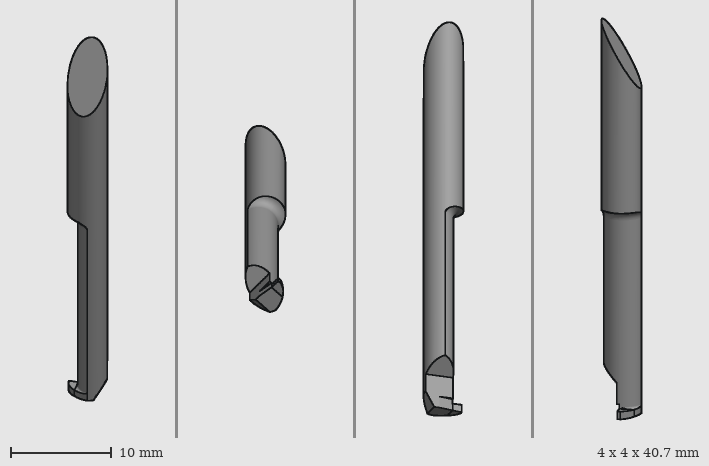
import cadquery as cq
import math

length = 40.7
shank_radius = 2.0
top_bevel_angle = 60.0

neck_left = -0.95
neck_radius = shank_radius
neck_axis_x = neck_left + neck_radius
shoulder_z = 21.25
shoulder_fillet = 0.98

foot_bottom = 0.1
foot_top = 0.8
foot_fillet = 0.2
foot_front_y = -1.45
foot_bulge = (-0.2, -1.8)
hook_tip_x = -1.9
rake_y = 0.06
tip_land = 0.33
hook_bulge = (-1.55, -0.95)

flat_y = 0.305
flat_height = 3.45
flat_runout_angle = 45.0
groove_top = 1.25
heel_bottom_x = 1.1
heel_angle = 60.0

cut_reach = 2 * shank_radius
meeting_x = neck_axis_x / 2
meeting_y = -math.sqrt(shank_radius**2 - meeting_x**2)


def make_shank():
    """Round bar with a slanted top face, highest at +Y."""
    blank = cq.Workplane("XY").workplane(offset=foot_bottom).circle(shank_radius)
    shank = blank.extrude(length - foot_bottom)
    bevel_drop = 2 * shank_radius * math.tan(math.radians(top_bevel_angle))
    bevel = (
        cq.Workplane("YZ")
        .moveTo(shank_radius, length)
        .lineTo(-shank_radius, length - bevel_drop)
        .lineTo(-shank_radius, length)
        .close()
        .extrude(shank_radius, both=True)
    )
    return shank.cut(bevel)


def neck_relief():
    """Ring around the neck axis, with a cove at each end, that leaves the neck."""
    diagonal = math.sqrt(0.5)
    outer = neck_radius + cut_reach
    foot_centre = (neck_radius + foot_fillet, foot_top + foot_fillet)
    shoulder_centre = (neck_radius + shoulder_fillet, shoulder_z - shoulder_fillet)
    foot_mid = [c - foot_fillet * diagonal for c in foot_centre]
    shoulder_mid = (
        shoulder_centre[0] - shoulder_fillet * diagonal,
        shoulder_centre[1] + shoulder_fillet * diagonal,
    )
    ring = (
        cq.Workplane("XZ")
        .moveTo(outer, foot_top)
        .lineTo(foot_centre[0], foot_top)
        .threePointArc(foot_mid, (neck_radius, foot_centre[1]))
        .lineTo(neck_radius, shoulder_centre[1])
        .threePointArc(shoulder_mid, (shoulder_centre[0], shoulder_z))
        .lineTo(outer, shoulder_z)
        .close()
        .revolve(360, (0, 0, 0), (0, 1, 0))
    )
    return ring.translate((neck_axis_x, 0, 0))


def foot_trim():
    """Material outside the -X face and the rounded front face of the foot."""
    return (
        cq.Workplane("XY")
        .moveTo(neck_left, cut_reach)
        .lineTo(neck_left, foot_front_y)
        .threePointArc(foot_bulge, (meeting_x, meeting_y))
        .lineTo(meeting_x, -cut_reach)
        .lineTo(-cut_reach, -cut_reach)
        .lineTo(-cut_reach, cut_reach)
        .close()
        .extrude(foot_top + foot_fillet)
    )


def rear_flat():
    """Flat behind the cutting end, running out to the bar surface."""
    runout = (cut_reach - flat_y) * math.tan(math.radians(flat_runout_angle))
    return (
        cq.Workplane("YZ")
        .moveTo(flat_y, 0)
        .lineTo(flat_y, flat_height)
        .lineTo(cut_reach, flat_height + runout)
        .lineTo(cut_reach, 0)
        .close()
        .extrude(cut_reach, both=True)
    )


def chip_groove():
    """Ramp from the rake plane at the hook up to the rear flat."""
    return (
        cq.Workplane("XY")
        .moveTo(neck_left, rake_y)
        .lineTo(meeting_x, flat_y)
        .lineTo(neck_left, flat_y)
        .close()
        .extrude(groove_top)
    )


def heel_bevel():
    """Bevel under the +X side of the bar."""
    rise = (cut_reach - heel_bottom_x) * math.tan(math.radians(heel_angle))
    return (
        cq.Workplane("XZ")
        .moveTo(heel_bottom_x, foot_bottom)
        .lineTo(cut_reach, foot_bottom + rise)
        .lineTo(cut_reach, foot_bottom)
        .close()
        .extrude(cut_reach, both=True)
    )


def make_bar():
    bar = make_shank().cut(neck_relief()).cut(foot_trim())
    return bar.cut(rear_flat()).cut(chip_groove()).cut(heel_bevel())


def make_hook():
    """Cutting hook with a flat rake face on its +Y side and its underside lowest at the tip."""
    blank = (
        cq.Workplane("XY")
        .moveTo(neck_left, rake_y)
        .lineTo(hook_tip_x, rake_y)
        .lineTo(hook_tip_x, rake_y - tip_land)
        .threePointArc(hook_bulge, (neck_left, foot_front_y))
        .close()
        .extrude(foot_top)
    )
    underside_relief = (
        cq.Workplane("XZ")
        .moveTo(hook_tip_x, 0)
        .lineTo(neck_left, foot_bottom)
        .lineTo(neck_left, 0)
        .close()
        .extrude(cut_reach, both=True)
    )
    return blank.cut(underside_relief)


bar = make_bar()
hook = make_hook()
result = cq.Compound.makeCompound([bar.solids().val(), hook.solids().val()])